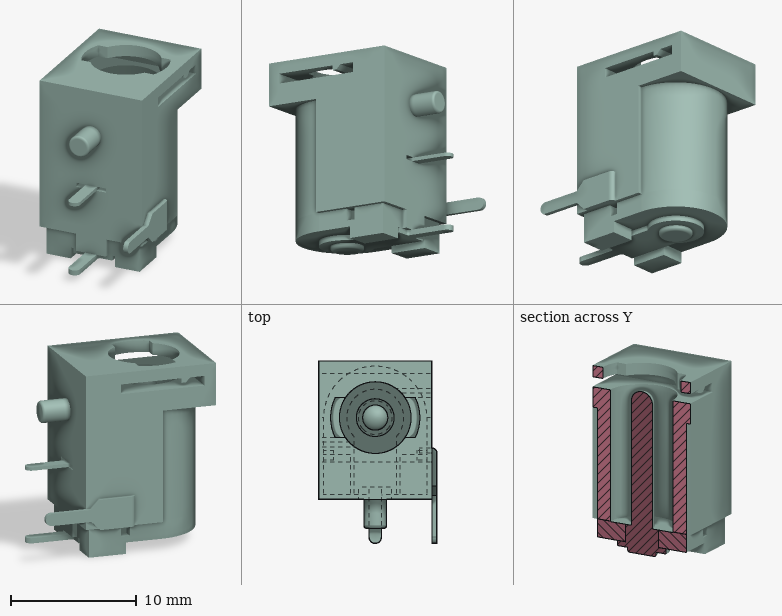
import cadquery as cq


housing_width = 9.0
housing_height = 12.75
half_width = housing_width / 2
front_y = -6.5
back_y = 4.5
head_height = 3.5
barrel_radius = 4.1
bore_radius = 2.85

keyway_radius = 3.55
keyway_half_width = 1.58
bayonet_roof = 0.97
bayonet_height = 0.8
bayonet_half_length = 3.52
stop_height = 0.38
stop_tip_length = 0.36

peg_radius = 0.9
peg_length = 2.3
peg_fillet = 0.2
peg_depth = 4.0
peg_z = housing_height - peg_depth

base_thickness = 1.5
base_setback = 0.4
base_front_y = front_y + base_setback
leg_height = 0.95
leg_inner_x = 1.95
leg_back_y = -2.95
window_width = 0.75
window_height = 0.97
window_depth = 0.8
window_y = -3.0

tongue_width = 2.62
tongue_thickness = 1.0
tongue_top = 4.1
recess_gap = 0.35

tail_width = 1.0
tail_tip_y = -10.0

pin_radius = 1.0
pin_tip_depth = 1.46
pin_tip_z = housing_height - pin_tip_depth
collar_radius = 1.5
terminal_thickness = 0.43
terminal_radius = 2.26
terminal_half_width = 1.7
terminal_root_fillet = 0.2
rivet_radius = 1.34
rivet_height = 0.38
rivet_fillet = 0.25

switch_thickness = 0.28

side_thickness = 0.4
side_bend_radius = 0.38
side_height = 2.5
side_back_y = -2.42
side_shoulder_y = -5.42
side_lug_length = 1.0


def box(x_range, y_range, z_range):
    """Box between two limits along each axis."""
    size = [high - low for low, high in (x_range, y_range, z_range)]
    corner = (x_range[0], y_range[0], z_range[0])
    return cq.Workplane("XY").box(*size, centered=False).translate(corner)


def cylinder(radius, z_low, z_high):
    """Cylinder on the jack axis."""
    return cq.Workplane("XY", origin=(0, 0, z_low)).circle(radius).extrude(z_high - z_low)


def tail(y_root, z_low, thickness):
    """Flat solder tail along -Y with a fully rounded tip."""
    radius = tail_width / 2
    tip_center_y = tail_tip_y + radius
    return (
        cq.Workplane("XY", origin=(0, 0, z_low))
        .moveTo(-radius, y_root)
        .lineTo(-radius, tip_center_y)
        .threePointArc((0, tail_tip_y), (radius, tip_center_y))
        .lineTo(radius, y_root)
        .close()
        .extrude(thickness)
    )


def bayonet_stop():
    """Ramped stop under the roof of the bayonet slot, on the +X, +Y side."""
    roof_z = housing_height - bayonet_roof
    stop_z = roof_z - stop_height
    tip_y = keyway_half_width + stop_tip_length
    stop = (
        cq.Workplane("YZ")
        .moveTo(keyway_half_width, roof_z)
        .lineTo(keyway_half_width, stop_z)
        .lineTo(tip_y, stop_z)
        .lineTo(tip_y + stop_height, roof_z)
        .close()
        .extrude(half_width)
    )
    return stop.cut(cylinder(bore_radius, 0, housing_height))


def make_housing():
    head_bottom = housing_height - head_height
    body = box((-half_width, half_width), (front_y, back_y), (head_bottom, housing_height))
    body = body.union(box((-half_width, half_width), (front_y, 0), (0, head_bottom)))
    body = body.union(cylinder(barrel_radius, 0, head_bottom))

    body = body.cut(cylinder(bore_radius, 0, housing_height))
    slot_top = housing_height - bayonet_roof
    slot_bottom = slot_top - bayonet_height
    keyways = cylinder(keyway_radius, slot_top, housing_height).intersect(
        box(
            (-keyway_radius, keyway_radius),
            (-keyway_half_width, keyway_half_width),
            (slot_top, housing_height),
        )
    )
    slot = box(
        (-half_width, half_width),
        (-bayonet_half_length, bayonet_half_length),
        (slot_bottom, slot_top),
    )
    body = body.cut(keyways).cut(slot)
    for angle in (0, 180):
        body = body.union(bayonet_stop().rotate((0, 0, 0), (0, 0, 1), angle))

    body = body.cut(
        box(
            (-tongue_width / 2, tongue_width / 2),
            (front_y, front_y + tongue_thickness),
            (0, tongue_top + recess_gap),
        )
    )

    body = body.cut(side_lug())

    peg = (
        cq.Workplane("XZ", origin=(0, front_y, peg_z))
        .circle(peg_radius)
        .extrude(peg_length)
        .faces("<Y")
        .edges()
        .fillet(peg_fillet)
    )
    return body.union(peg)


def make_base():
    body = cylinder(barrel_radius, -base_thickness, 0)
    body = body.union(box((-barrel_radius, barrel_radius), (base_front_y, 0), (-base_thickness, 0)))
    window_y_range = (window_y - window_width / 2, window_y + window_width / 2)
    for side in (-1, 1):
        leg_x_range = sorted((side * leg_inner_x, side * barrel_radius))
        leg_z_range = (-base_thickness - leg_height, -base_thickness)
        body = body.union(box(leg_x_range, (base_front_y, leg_back_y), leg_z_range))
        window_x_range = sorted((side * (barrel_radius - window_depth), side * barrel_radius))
        body = body.cut(box(window_x_range, window_y_range, (-window_height, 0)))
    tongue = box(
        (-tongue_width / 2, tongue_width / 2),
        (front_y, front_y + tongue_thickness),
        (-base_thickness, tongue_top),
    )
    return body.union(tongue).cut(cylinder(collar_radius, -base_thickness, 0))


def make_center_pin():
    """Domed pin with a collar seated in the base, a terminal plate below it and a rivet head."""
    plate_top = -base_thickness
    plate_bottom = plate_top - terminal_thickness
    dome_z = pin_tip_z - pin_radius
    pin = cylinder(pin_radius, 0, dome_z)
    pin = pin.union(cq.Workplane("XY", origin=(0, 0, dome_z)).sphere(pin_radius))
    pin = pin.union(cylinder(collar_radius, plate_top, 0))

    plate = box(
        (-terminal_half_width, terminal_half_width),
        (base_front_y, 0),
        (plate_bottom, plate_top),
    )
    plate = plate.union(tail(0, plate_bottom, terminal_thickness))
    root = cq.selectors.BoxSelector(
        (-tail_width, base_front_y - terminal_root_fillet, plate_bottom),
        (tail_width, base_front_y + terminal_root_fillet, plate_top),
    )
    plate = plate.edges("|Z").edges(root).fillet(terminal_root_fillet)
    plate = plate.union(cylinder(terminal_radius, plate_bottom, plate_top))

    rivet = cylinder(rivet_radius, plate_bottom - rivet_height, plate_bottom)
    rivet = rivet.faces("<Z").edges().fillet(rivet_fillet)
    return pin.union(plate).union(rivet)


def make_switch_contact():
    """Thin solder tail lying on top of the tongue."""
    return tail(front_y + tongue_thickness, tongue_top, switch_thickness)


def side_lug():
    """Inner end of the side contact, buried in the +X wall of the housing."""
    return box(
        (half_width - side_lug_length, half_width),
        (side_back_y - side_thickness, side_back_y),
        (0, side_height),
    )


def make_side_contact():
    """Strip along the +X face, tapering at 45 degrees into a solder tail, with a bent-in lug."""
    middle_z = side_height / 2
    tail_radius = tail_width / 2
    taper = middle_z - tail_radius
    taper_end_y = side_shoulder_y - taper
    tip_center_y = tail_tip_y + tail_radius
    strip = (
        cq.Workplane("YZ", origin=(half_width, 0, 0))
        .moveTo(side_back_y, 0)
        .lineTo(side_shoulder_y, 0)
        .lineTo(taper_end_y, middle_z - tail_radius)
        .lineTo(tip_center_y, middle_z - tail_radius)
        .threePointArc((tail_tip_y, middle_z), (tip_center_y, middle_z + tail_radius))
        .lineTo(taper_end_y, middle_z + tail_radius)
        .lineTo(side_shoulder_y, side_height)
        .lineTo(side_back_y, side_height)
        .close()
        .extrude(side_thickness)
    )
    strip = strip.edges("|Z and >X and >Y").fillet(side_bend_radius)
    return strip.union(side_lug())


housing = make_housing()
base = make_base()
center_pin = make_center_pin()
switch_contact = make_switch_contact()
side_contact = make_side_contact()

result = cq.Compound.makeCompound(
    [
        housing.solids().val(),
        base.solids().val(),
        center_pin.solids().val(),
        switch_contact.solids().val(),
        side_contact.solids().val(),
    ]
)